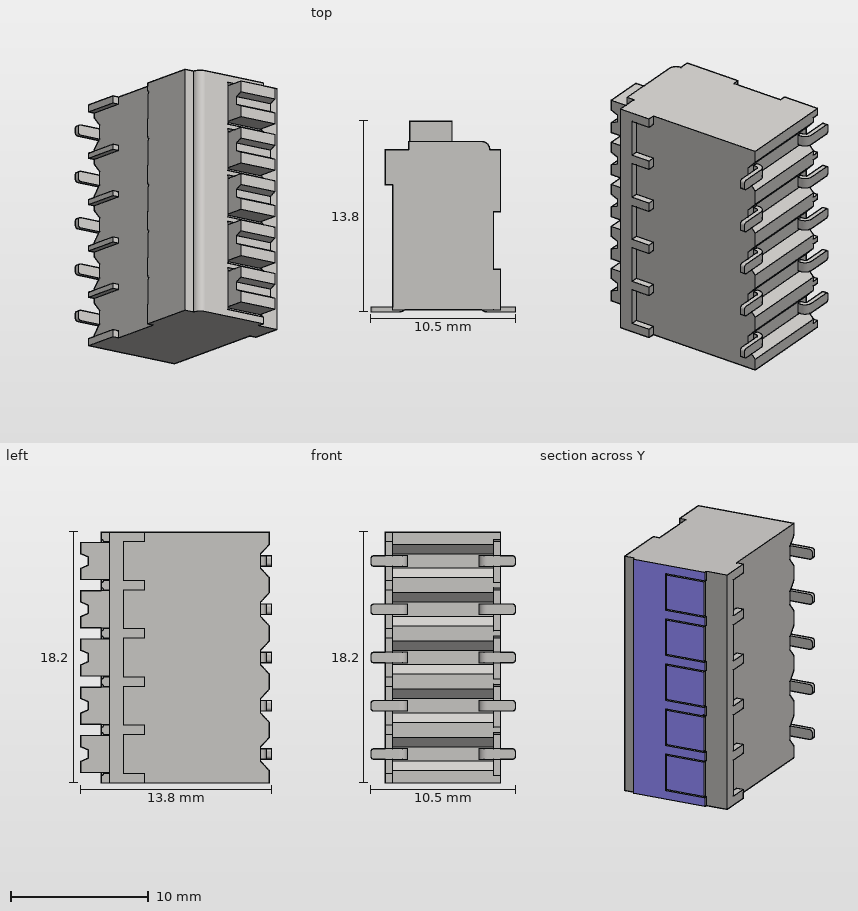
import cadquery as cq


pole_count = 5
pole_pitch = 3.5
row_length = 18.2
pole_heights = [(i - (pole_count - 1) / 2) * pole_pitch for i in range(pole_count)]

side_left = -3.65
collar_left = -4.2
side_right = 4.17
collar_front = 9.06
shoulder_y = 11.61
cap_left = -2.51
cap_right = 3.39
cap_y = 12.21
cap_corner_radius = cap_y - shoulder_y

right_floor = 3.65
notch_front = 2.95
notch_back = 7.1
right_groove_height = 3.11
lip_wall_rise = 0.1
lip_wall_drop = 0.02

window_height = 2.8
window_back = 10.57
opening_right = 0.71
opening_corner_radius = 0.18

groove_depth = 0.64
groove_mouth_height = 2.4
groove_floor_height = 1.04

button_left = -2.44
button_right = 0.65
button_height = 2.7
button_y = 13.69
button_notch_depth = 0.55
button_notch_mouth = 1.05
button_notch_floor = 0.58

lead_span = 10.5
lead_height = 0.78
lead_thickness = 0.36
lead_front = -0.16
lead_back = lead_front + lead_thickness
lead_stem_inner = 2.58
bend_outer_radius = 0.6
bend_inner_radius = bend_outer_radius - lead_thickness
lead_tip_radius = 0.24
lead_embedding = 0.55


def box(x0, x1, y0, y1, z0, z1):
    """Box between two opposite corners."""
    return cq.Workplane("XY").box(x1 - x0, y1 - y0, z1 - z0, centered=False).translate((x0, y0, z0))


def prism_along_x(points, x0, x1):
    """Closed outline of (Y, Z) points, extruded from x0 to x1."""
    return cq.Workplane("YZ", origin=(x0, 0, 0)).polyline(points).close().extrude(x1 - x0)


def housing_blank():
    """Plain housing: one outline in X and Y, extruded along the row."""
    return (
        cq.Workplane("XY", origin=(0, 0, -row_length / 2))
        .moveTo(side_left, 0)
        .lineTo(side_right, 0)
        .lineTo(side_right, notch_front)
        .lineTo(right_floor, notch_front)
        .lineTo(right_floor, notch_back)
        .lineTo(side_right, notch_back)
        .lineTo(side_right, shoulder_y)
        .lineTo(cap_right, shoulder_y)
        .radiusArc((cap_right - cap_corner_radius, cap_y), -cap_corner_radius)
        .lineTo(cap_left, cap_y)
        .lineTo(cap_left, shoulder_y)
        .lineTo(collar_left, shoulder_y)
        .lineTo(collar_left, collar_front)
        .lineTo(side_left, collar_front)
        .close()
        .extrude(row_length)
    )


def front_groove():
    """Trapezoidal groove across the front face."""
    mouth = groove_mouth_height / 2
    floor = groove_floor_height / 2
    points = [(0, -mouth), (groove_depth, -floor), (groove_depth, floor), (0, mouth)]
    return prism_along_x(points, side_left, side_right)


def collar_window():
    """Recess in the left collar, leaving a tab on either side of the pole."""
    half = window_height / 2
    return box(collar_left, side_left, collar_front, window_back, -half, half)


def right_groove():
    """Groove in the right side, running from the front face into the step."""
    half = right_groove_height / 2
    return box(right_floor, side_right, 0, notch_front, -half, half)


def lip_relief():
    """Shallow hollow in the rear wall of the right step, deepest near its top."""
    half = right_groove_height / 2
    bend = window_height / 2
    points = [
        (notch_back - lip_wall_drop, -half),
        (notch_back, -half),
        (notch_back, -bend),
        (notch_back + lip_wall_rise, bend),
        (notch_back, half),
        (notch_back - lip_wall_drop, half),
    ]
    return prism_along_x(points, right_floor, side_right)


def button_opening():
    """Opening through the cap, open to the left, with mouth edges rounded outward."""
    half = window_height / 2
    radius = opening_corner_radius
    return (
        cq.Workplane("YZ", origin=(cap_left, 0, 0))
        .moveTo(shoulder_y, -half)
        .lineTo(cap_y - radius, -half)
        .radiusArc((cap_y, -half - radius), -radius)
        .lineTo(cap_y, half + radius)
        .radiusArc((cap_y - radius, half), -radius)
        .lineTo(shoulder_y, half)
        .close()
        .extrude(opening_right - cap_left)
    )


def button():
    """Push button with a tapered slot across its end."""
    half = button_height / 2
    mouth = button_notch_mouth / 2
    floor = button_notch_floor / 2
    notch_y = button_y - button_notch_depth
    points = [
        (shoulder_y, -half),
        (button_y, -half),
        (button_y, -mouth),
        (notch_y, -floor),
        (notch_y, floor),
        (button_y, mouth),
        (button_y, half),
        (shoulder_y, half),
    ]
    return prism_along_x(points, button_left, button_right)


def right_lead():
    """Lead that leaves the groove floor, bends to the right and ends in a rounded tip."""
    stem_outer = lead_stem_inner + lead_thickness
    bend_x = lead_stem_inner + bend_outer_radius
    bend_y = lead_front + bend_outer_radius
    stem_end = groove_depth + lead_embedding
    return (
        cq.Workplane("XY", origin=(0, 0, -lead_height / 2))
        .moveTo(lead_stem_inner, stem_end)
        .lineTo(lead_stem_inner, bend_y)
        .radiusArc((bend_x, lead_front), -bend_outer_radius)
        .lineTo(lead_span / 2, lead_front)
        .lineTo(lead_span / 2, lead_back)
        .lineTo(bend_x, lead_back)
        .radiusArc((stem_outer, bend_y), bend_inner_radius)
        .lineTo(stem_outer, stem_end)
        .close()
        .extrude(lead_height)
        .faces(">X")
        .edges("|Y")
        .fillet(lead_tip_radius)
    )


pole_cuts = [front_groove(), collar_window(), right_groove(), lip_relief(), button_opening()]
lead = right_lead()
pole_additions = [button(), lead, lead.mirror("YZ")]

result = housing_blank()
for z in pole_heights:
    for cut in pole_cuts:
        result = result.cut(cut.translate((0, 0, z)))
    for addition in pole_additions:
        result = result.union(addition.translate((0, 0, z)))